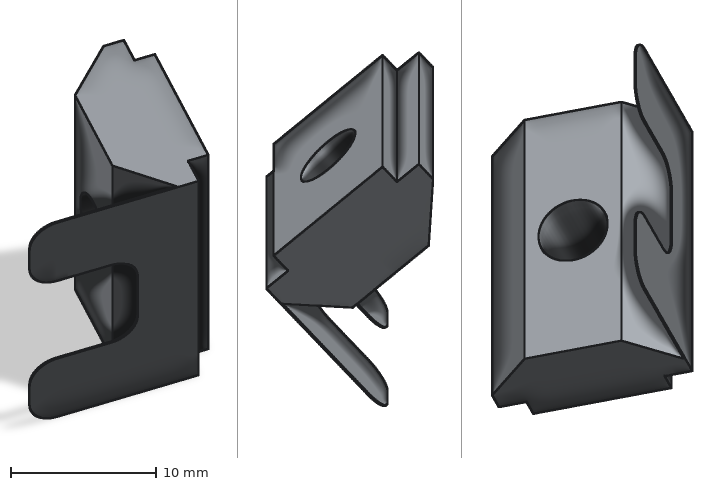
import cadquery as cq

length = 20.0
width = 14.0
total_depth = 14.0

neck_width = 10.0
neck_depth = 1.5
flange_depth = 1.5
bevel = 3.5
body_depth = neck_depth + flange_depth + bevel
front_width = width - 2 * bevel

hole_diameter = 5.0

sheet_thickness = 0.1
prong_width = 6.0
slot_depth = 8.0
corner_radius = 2.0
slot_width = length - 2 * prong_width

back_y = body_depth
flange_back_y = back_y - neck_depth
flange_front_y = flange_back_y - flange_depth
tip_y = back_y - total_depth
slot_floor_y = tip_y + slot_depth


def make_body():
    """Bevelled T-shaped bar, centred on X and Z."""
    half_profile = [
        (0, 0),
        (front_width / 2, 0),
        (width / 2, flange_front_y),
        (width / 2, flange_back_y),
        (neck_width / 2, flange_back_y),
        (neck_width / 2, back_y),
        (0, back_y),
    ]
    return (
        cq.Workplane("XY")
        .polyline(half_profile)
        .mirrorY()
        .extrude(length / 2, both=True)
    )


def make_hole():
    """Cylinder along Y that passes through the whole body."""
    return cq.Workplane("XZ").circle(hole_diameter / 2).extrude(-body_depth)


def sheet_block(start_y, end_y, height):
    """Block of sheet thickness against the +X side, centred on Z."""
    return cq.Workplane("XY").box(
        sheet_thickness, end_y - start_y, height, centered=(False, False, True)
    ).translate((width / 2 - sheet_thickness, start_y, 0))


def make_spring():
    """Thin sheet with a rounded slot that leaves two rounded prongs.

    It runs back into the flange so that it joins the body.
    """
    sheet = sheet_block(tip_y, flange_back_y, length)
    slot = sheet_block(tip_y, slot_floor_y, slot_width)
    slot = slot.edges("|X and >Y").fillet(corner_radius)
    outline = sheet.edges("|X and <Y").fillet(corner_radius)
    return outline.cut(slot).edges("|X and <Y").fillet(corner_radius)


result = make_body().union(make_spring()).cut(make_hole())